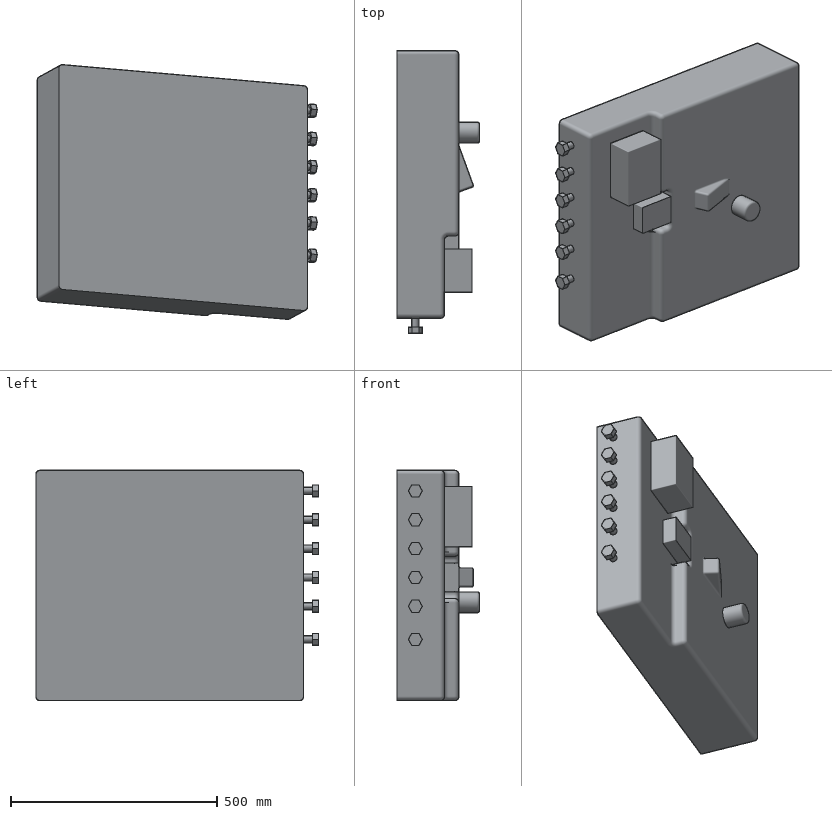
import cadquery as cq
import math

HOUSING_DEPTH = 150.0
OVERALL_LENGTH = 686.0
HOUSING_LENGTH = 649.5
HOUSING_HEIGHT = 559.0
EDGE_RADIUS = 10.0

RECESS_FLOOR = 115.0
RECESS_LENGTH = 199.5

SWITCH_Z = 299.0
NOTCH_WIDTH = 102.0
NOTCH_DEPTH = 30.0

BLOCK_EDGE_RADIUS = 1.7
DISPLAY_DEPTH = 67.0
DISPLAY_Y = 63.0
DISPLAY_LENGTH = 105.5
DISPLAY_Z = 373.0
DISPLAY_HEIGHT = 147.0
SOCKET_Y = 137.0
SOCKET_HEIGHT = 70.0

ROCKER_TIP_X = 186.5
ROCKER_TIP_Y = 319.5
ROCKER_TILT = 20.0
ROCKER_LENGTH = 107.0
ROCKER_WIDTH = 46.5
ROCKER_RADIUS = 5.0
ROCKER_FOOT_RADIUS = 4.0
FOOT_TOLERANCE = 1.0
ROCKER_BURIED_DEPTH = 68.5

KNOB_DIAMETER = 51.0
KNOB_END_X = 200.0
KNOB_Y = 450.5
KNOB_Z = 239.0
KNOB_END_RADIUS = 5.5

BOLT_X = 44.5
BOLT_TOP_Z = 509.0
BOLT_PITCH = 70.0
LAST_BOLT_GAP = 80.0
EVEN_BOLTS = 5
SHANK_DIAMETER = 18.0
BOLT_LENGTH = OVERALL_LENGTH - HOUSING_LENGTH
HEAD_THICKNESS = 15.0
HEAD_ACROSS_FLATS = 29.5


def box(x, y, z, depth, length, height):
    return cq.Workplane("XY").box(depth, length, height, centered=False).translate((x, y, z))


def make_notch():
    """Pocket set into the recess wall, with its mouth and its inner corners rounded."""
    r = EDGE_RADIUS
    half = NOTCH_WIDTH / 2
    mouth = RECESS_LENGTH
    back = RECESS_LENGTH + NOTCH_DEPTH
    low = SWITCH_Z - half
    high = SWITCH_Z + half
    return (
        cq.Workplane("YZ", origin=(RECESS_FLOOR, 0, 0))
        .moveTo(mouth - r, low - r)
        .lineTo(mouth, low - r)
        .radiusArc((mouth + r, low), r)
        .lineTo(back - r, low)
        .radiusArc((back, low + r), -r)
        .lineTo(back, high - r)
        .radiusArc((back - r, high), -r)
        .lineTo(mouth + r, high)
        .radiusArc((mouth, high + r), r)
        .lineTo(mouth - r, high + r)
        .close()
        .extrude(HOUSING_DEPTH - RECESS_FLOOR)
    )


def make_housing():
    """Stepped, notched body with every edge rounded except those of the flat back face."""
    r = EDGE_RADIUS
    profile = (
        cq.Workplane("XY")
        .lineTo(RECESS_FLOOR, 0)
        .lineTo(RECESS_FLOOR, RECESS_LENGTH - r)
        .radiusArc((RECESS_FLOOR + r, RECESS_LENGTH), r)
        .lineTo(HOUSING_DEPTH, RECESS_LENGTH)
        .lineTo(HOUSING_DEPTH, HOUSING_LENGTH)
        .lineTo(0, HOUSING_LENGTH)
        .close()
    )
    body = profile.extrude(HOUSING_HEIGHT)
    body = body.edges("|X").edges("<Y or >Y").fillet(r)
    body = body.cut(make_notch())
    recess_rim = body.faces("+X").faces("<X").edges("<Y or <Z or >Z").vals()
    front_rim = body.faces(">X").edges().vals()
    return body.newObject(recess_rim + front_rim).fillet(r)


def make_display():
    """Tall block in the upper part of the recess."""
    block = box(RECESS_FLOOR, DISPLAY_Y, DISPLAY_Z, DISPLAY_DEPTH, DISPLAY_LENGTH, DISPLAY_HEIGHT)
    return block.edges().fillet(BLOCK_EDGE_RADIUS)


def make_socket():
    """Block that fills the middle of the notch and reaches forward into the recess."""
    depth = HOUSING_DEPTH - RECESS_FLOOR
    length = RECESS_LENGTH + NOTCH_DEPTH - SOCKET_Y
    block = box(RECESS_FLOOR, SOCKET_Y, SWITCH_Z - SOCKET_HEIGHT / 2, depth, length, SOCKET_HEIGHT)
    return block.edges("not (>X or >Y)").fillet(BLOCK_EDGE_RADIUS)


def make_rocker():
    """Block tilted about Z so that only a wedge of it stands out of the housing."""
    block = box(
        -ROCKER_BURIED_DEPTH, 0, -ROCKER_WIDTH / 2, ROCKER_BURIED_DEPTH, ROCKER_LENGTH, ROCKER_WIDTH
    )
    block = block.edges(">X or (<Y and |X)").fillet(ROCKER_RADIUS)
    block = block.rotate((0, 0, 0), (0, 0, 1), ROCKER_TILT)
    return block.translate((ROCKER_TIP_X, ROCKER_TIP_Y, SWITCH_Z))


def make_knob():
    """Plain cylinder with a rounded outer end."""
    knob = (
        cq.Workplane("YZ", origin=(HOUSING_DEPTH, KNOB_Y, KNOB_Z))
        .circle(KNOB_DIAMETER / 2)
        .extrude(KNOB_END_X - HOUSING_DEPTH)
    )
    return knob.faces(">X").edges().fillet(KNOB_END_RADIUS)


def make_bolt(z):
    """Round shank with a hexagonal head, two corners pointing along X."""
    across_corners = HEAD_ACROSS_FLATS / math.cos(math.pi / 6)
    shank = cq.Workplane("XZ", origin=(BOLT_X, 0, z)).circle(SHANK_DIAMETER / 2).extrude(BOLT_LENGTH)
    head = (
        cq.Workplane("XZ", origin=(BOLT_X, HEAD_THICKNESS - BOLT_LENGTH, z))
        .polygon(6, across_corners)
        .extrude(HEAD_THICKNESS)
    )
    return shank.union(head)


def add_rocker(body):
    """Join the rocker and blend its foot into the housing face."""
    body = body.union(make_rocker())
    foot = cq.selectors.BoxSelector(
        (HOUSING_DEPTH - FOOT_TOLERANCE, ROCKER_TIP_Y - ROCKER_LENGTH, SWITCH_Z - ROCKER_WIDTH),
        (HOUSING_DEPTH + FOOT_TOLERANCE, ROCKER_TIP_Y + ROCKER_LENGTH, SWITCH_Z + ROCKER_WIDTH),
        boundingbox=True,
    )
    return body.edges(foot).fillet(ROCKER_FOOT_RADIUS)


bolt_heights = [BOLT_TOP_Z - i * BOLT_PITCH for i in range(EVEN_BOLTS)]
bolt_heights.append(bolt_heights[-1] - LAST_BOLT_GAP)

result = add_rocker(make_housing())
for part in (make_display(), make_socket(), make_knob()):
    result = result.union(part)
for bolt_z in bolt_heights:
    result = result.union(make_bolt(bolt_z))